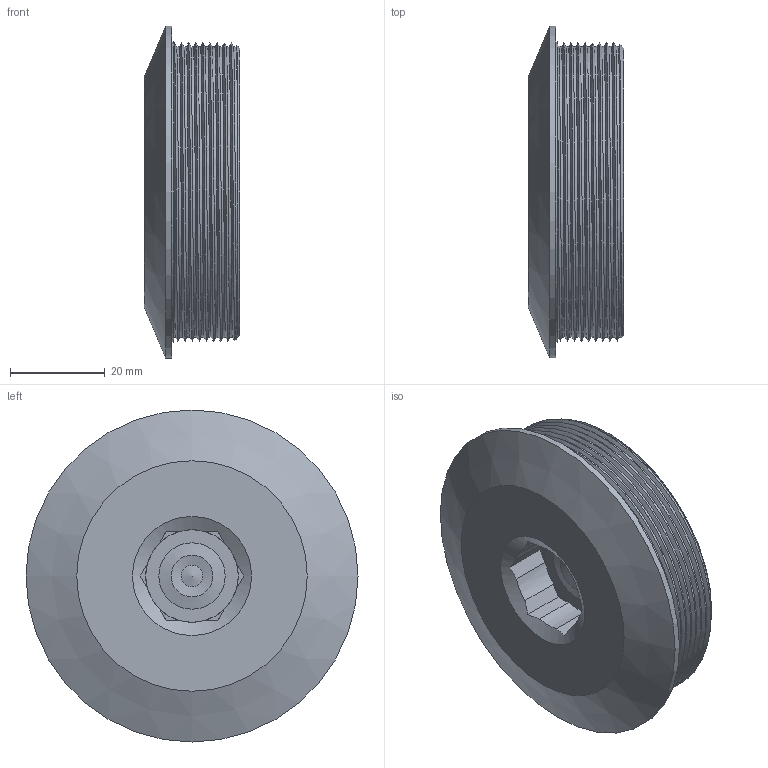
import cadquery as cq
import math

TOTAL_LENGTH = 20.1
FLANGE_DIAMETER = 70.0
FACE_DIAMETER = 48.6
HEAD_CONE_LENGTH = 4.5
FLANGE_END = 5.8
COLLAR_DIAMETER = 63.4
COLLAR_END = 6.2

THREAD_DIAMETER = 63.0
THREAD_PITCH = 1.5
THREAD_DEPTH = 0.81
THREAD_FLANK_ANGLE = 30.0
THREAD_ROOT_OVERLAP = 0.15
THREAD_CREST_X = 6.34
END_CHAMFER = 1.2

HEX_ACROSS_FLATS = 18.85
SOCKET_DEPTH = 10.1
BORE_DIAMETER = 19.5
BORE_DEPTH = 10.2
LEAD_IN_DIAMETER = 25.1
LEAD_IN_DEPTH = 1.62

RIDGE_BASE_DIAMETER = 14.0
RIDGE_CREST_DIAMETER = 8.8
VALLEY_DIAMETER = 4.5
RIDGE_ANGLE = 12.0

ROOT_RADIUS = THREAD_DIAMETER / 2 - THREAD_DEPTH


def revolve_about_x(points):
    """Revolve a closed (x, radius) outline about the X axis."""
    return cq.Workplane("XZ").polyline(points).close().revolve(360, (0, 0, 0), (1, 0, 0))


def cylinder_along_x(radius, start, end):
    """Cylinder on the X axis between two X positions."""
    return cq.Workplane("YZ", origin=(start, 0, 0)).circle(radius).extrude(end - start)


def make_head():
    return revolve_about_x([
        (0, 0),
        (0, FACE_DIAMETER / 2),
        (HEAD_CONE_LENGTH, FLANGE_DIAMETER / 2),
        (FLANGE_END, FLANGE_DIAMETER / 2),
        (FLANGE_END, COLLAR_DIAMETER / 2),
        (COLLAR_END, COLLAR_DIAMETER / 2),
        (COLLAR_END, 0),
    ])


def make_thread_ridge():
    """Sweep one sharp-crested ridge along a helix that runs past both ends of the threaded length."""
    base_radius = ROOT_RADIUS - THREAD_ROOT_OVERLAP
    base_half = (THREAD_DEPTH + THREAD_ROOT_OVERLAP) * math.tan(math.radians(THREAD_FLANK_ANGLE))
    start = THREAD_CREST_X - THREAD_PITCH
    turns = math.ceil((TOTAL_LENGTH - start) / THREAD_PITCH) + 1
    helix = cq.Wire.makeHelix(THREAD_PITCH, turns * THREAD_PITCH, base_radius)
    ridge = (
        cq.Workplane("XZ")
        .polyline([
            (base_radius, -base_half),
            (THREAD_DIAMETER / 2, 0),
            (base_radius, base_half),
        ])
        .close()
        .sweep(cq.Workplane(obj=helix), isFrenet=True)
    )
    ridge = ridge.rotate((0, 0, 0), (0, 0, 1), 180).rotate((0, 0, 0), (0, 1, 0), 90)
    return ridge.translate((start, 0, 0))


def make_threaded_body():
    envelope_radius = COLLAR_DIAMETER / 2
    end_radius = THREAD_DIAMETER / 2 - END_CHAMFER
    chamfer_start = TOTAL_LENGTH - (envelope_radius - end_radius)
    envelope = revolve_about_x([
        (HEAD_CONE_LENGTH, 0),
        (HEAD_CONE_LENGTH, envelope_radius),
        (chamfer_start, envelope_radius),
        (TOTAL_LENGTH, end_radius),
        (TOTAL_LENGTH, 0),
    ])
    core = cylinder_along_x(ROOT_RADIUS, HEAD_CONE_LENGTH, TOTAL_LENGTH).intersect(envelope)
    return core.union(make_thread_ridge().intersect(envelope))


def make_socket():
    corner_diameter = HEX_ACROSS_FLATS / math.cos(math.radians(30))
    hexagon = cq.Workplane("YZ").polygon(6, corner_diameter).extrude(SOCKET_DEPTH)
    bore = cylinder_along_x(BORE_DIAMETER / 2, 0, BORE_DEPTH)
    lead_in = revolve_about_x([
        (0, 0),
        (0, LEAD_IN_DIAMETER / 2),
        (LEAD_IN_DEPTH, BORE_DIAMETER / 2),
        (LEAD_IN_DEPTH, 0),
    ])
    return hexagon.union(bore).union(lead_in)


def make_floor_relief():
    base = RIDGE_BASE_DIAMETER / 2
    crest = RIDGE_CREST_DIAMETER / 2
    valley = VALLEY_DIAMETER / 2
    slope = math.tan(math.radians(RIDGE_ANGLE))
    crest_x = BORE_DEPTH - (base - crest) * slope
    valley_x = crest_x + (crest - valley) * slope
    peak_x = valley_x - valley * slope
    return revolve_about_x([
        (peak_x, 0),
        (valley_x, valley),
        (crest_x, crest),
        (BORE_DEPTH, base),
        (BORE_DEPTH, 0),
    ])


plug_body = make_head().union(make_threaded_body())
result = plug_body.cut(make_socket()).union(make_floor_relief())